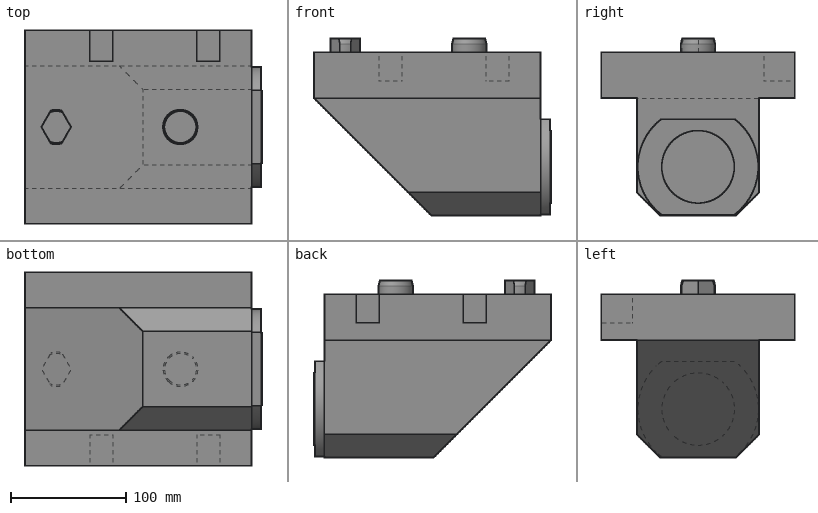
import cadquery as cq
import math

plate_length = 197.0
plate_width = 168.0
plate_thickness = 40.0

body_width = 106.0
body_height = 102.2
body_edge_chamfer = 20.2

slot_width = 20.0
slot_length = 27.0
slot_depth = 25.0
slot_centers_x = (66.1, 159.0)

pin_diameter = 30.0
pin_height = 12.0
pin_lead_height = 5.0
pin_lead_inset = 1.2
round_pin_x = 135.0
diamond_pin_x = 27.2
diamond_tip_width = 25.8
diamond_side_angle = 60

flange_diameter = 104.6
flange_thickness = 8.2
flange_flat_height = 83.0
face_diameter = 63.0
face_thickness = 0.8
flange_axis_above_bottom = 42.5

body_bottom_z = -plate_thickness - body_height


def make_plate():
    plate = cq.Workplane("XY").box(
        plate_length, plate_width, plate_thickness, centered=(False, True, False)
    ).translate((0, 0, -plate_thickness))
    for center_x in slot_centers_x:
        slot = cq.Workplane("XY").box(
            slot_width, slot_length, slot_depth, centered=(True, False, False)
        ).translate((center_x, plate_width / 2 - slot_length, -slot_depth))
        plate = plate.cut(slot)
    return plate


def make_body():
    block = cq.Workplane("XY").box(
        plate_length, body_width, body_height, centered=(False, True, False)
    ).translate((0, 0, body_bottom_z))
    block = block.faces("<Z").edges("|X").chamfer(body_edge_chamfer)
    slope_cutter = (
        cq.Workplane("XZ")
        .moveTo(0, -plate_thickness)
        .lineTo(0, body_bottom_z)
        .lineTo(body_height, body_bottom_z)
        .close()
        .extrude(body_width / 2, both=True)
    )
    return block.cut(slope_cutter)


def make_round_pin(center_x):
    radius = pin_diameter / 2
    pin = cq.Workplane("XY").circle(radius).extrude(pin_height)
    pin = pin.faces(">Z").chamfer(pin_lead_height, pin_lead_inset)
    return pin.translate((center_x, 0, 0))


def make_diamond_pin(center_x):
    half_width = diamond_tip_width / 2
    half_depth = half_width * math.tan(math.radians(diamond_side_angle))
    diamond = (
        cq.Workplane("XY")
        .polyline([(half_width, 0), (0, half_depth), (-half_width, 0), (0, -half_depth)])
        .close()
        .extrude(pin_height)
        .translate((center_x, 0, 0))
    )
    return make_round_pin(center_x).intersect(diamond)


def make_flange():
    disc = cq.Workplane("YZ").circle(flange_diameter / 2).extrude(flange_thickness)
    flats = cq.Workplane("YZ").rect(flange_diameter, flange_flat_height).extrude(flange_thickness)
    face = (
        cq.Workplane("YZ", origin=(flange_thickness, 0, 0))
        .circle(face_diameter / 2)
        .extrude(face_thickness)
    )
    flange_axis_z = body_bottom_z + flange_axis_above_bottom
    return disc.intersect(flats).union(face).translate((plate_length, 0, flange_axis_z))


result = (
    make_plate()
    .union(make_body())
    .union(make_round_pin(round_pin_x))
    .union(make_diamond_pin(diamond_pin_x))
    .union(make_flange())
)